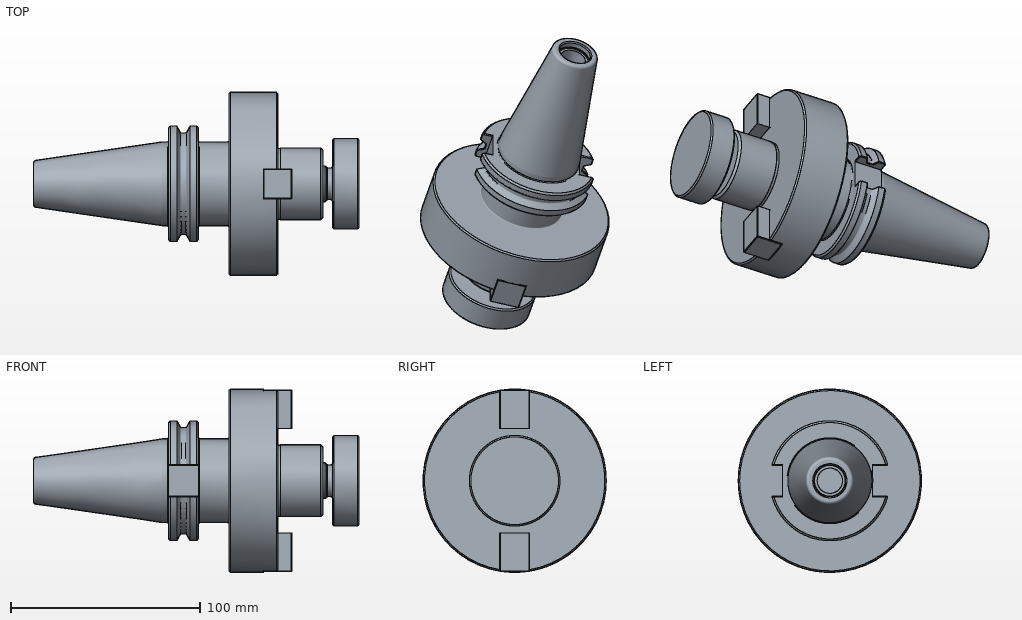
import cadquery as cq
import math


tolerance = 0.01

gauge_diameter = 44.45
taper_length = 68.25
taper_ratio = 7 / 24
taper_end_diameter = gauge_diameter - taper_ratio * taper_length
taper_end_rounding = 1.6

drawbar_mouth_diameter = 18.1
drawbar_counterbore_diameter = 16.8
drawbar_pilot_diameter = 16.3
drawbar_counterbore_depth = 3.3
drawbar_pilot_depth = 4.2
drawbar_thread_diameter = 13.39
drawbar_bore_depth = 40.0
drawbar_mouth_chamfer = (drawbar_mouth_diameter - drawbar_counterbore_diameter) / 2
drawbar_step_chamfer = (drawbar_counterbore_diameter - drawbar_pilot_diameter) / 2

flange_diameter = 63.55
flange_start = 3.18
flange_width = 15.87
flange_end = flange_start + flange_width
flange_middle = flange_start + flange_width / 2
flange_chamfer = 1.0
groove_floor_diameter = 56.5
groove_rim_width = 7.0
groove_floor_fillet = 0.6
groove_half_angle = math.radians(30)
groove_wall_run = (flange_diameter - groove_floor_diameter) / 2 * math.tan(groove_half_angle)
groove_floor_width = groove_rim_width - 2 * groove_wall_run
drive_slot_width = 16.1
drive_slot_edge_chamfer = 0.5
front_slot_floor = 22.6
back_slot_floor = 25.0

disc_diameter = 97.0
disc_start = 35.1
disc_width = 25.9
disc_face = disc_start + disc_width
disc_chamfer = 0.8
body_corner_fillet = 0.5

pilot_diameter = 38.1
pilot_length = 24.0
pilot_end = disc_face + pilot_length
pilot_chamfer = 1.3
relief_diameter = 37.6
relief_width = 1.5

key_width = 15.875
key_chamfer = 0.4
key_length = 15.0
key_depth_in_disc = 7.6
key_start = disc_face - key_depth_in_disc
key_inner = 27.6
key_outer = 48.1

screw_diameter = 19.05
screw_depth_in_pilot = 25.0
screw_core_diameter = 17.32
screw_core_length = 0.4
screw_neck_diameter = 16.8
screw_thread_runout = 1.0
head_diameter = 48.0
head_end = 104.0
head_width = 14.0
head_start = head_end - head_width
head_chamfer = 0.8
head_fillet = 1.2


def revolve_about_x(profile):
    """Turn a closed (X, radius) profile once around the X axis."""
    return profile.close().revolve(360, (0, 0, 0), (1, 0, 0))


def make_holder_blank():
    taper_radius = taper_end_diameter / 2
    body_radius = gauge_diameter / 2
    flange_radius = flange_diameter / 2
    disc_radius = disc_diameter / 2
    pilot_radius = pilot_diameter / 2
    relief_end = disc_face + relief_width
    wall_turn = math.pi / 2 - groove_half_angle
    fillet_tangent = groove_floor_fillet * math.tan(wall_turn / 2)
    fillet_on_floor = groove_floor_width / 2 - fillet_tangent
    fillet_on_wall = groove_floor_width / 2 + fillet_tangent * math.sin(groove_half_angle)
    floor_radius = groove_floor_diameter / 2
    fillet_top_radius = floor_radius + fillet_tangent * math.cos(groove_half_angle)
    profile = (
        cq.Workplane("XY")
        .moveTo(-taper_length, 0)
        .lineTo(-taper_length, taper_radius)
        .lineTo(0, body_radius)
        .lineTo(flange_start - body_corner_fillet, body_radius)
        .radiusArc((flange_start, body_radius + body_corner_fillet), -body_corner_fillet)
        .lineTo(flange_start, flange_radius - flange_chamfer)
        .lineTo(flange_start + flange_chamfer, flange_radius)
        .lineTo(flange_middle - groove_rim_width / 2, flange_radius)
        .lineTo(flange_middle - fillet_on_wall, fillet_top_radius)
        .radiusArc((flange_middle - fillet_on_floor, floor_radius), -groove_floor_fillet)
        .lineTo(flange_middle + fillet_on_floor, floor_radius)
        .radiusArc((flange_middle + fillet_on_wall, fillet_top_radius), -groove_floor_fillet)
        .lineTo(flange_middle + groove_rim_width / 2, flange_radius)
        .lineTo(flange_end - flange_chamfer, flange_radius)
        .lineTo(flange_end, flange_radius - flange_chamfer)
        .lineTo(flange_end, body_radius + body_corner_fillet)
        .radiusArc((flange_end + body_corner_fillet, body_radius), -body_corner_fillet)
        .lineTo(disc_start - body_corner_fillet, body_radius)
        .radiusArc((disc_start, body_radius + body_corner_fillet), -body_corner_fillet)
        .lineTo(disc_start, disc_radius - disc_chamfer)
        .lineTo(disc_start + disc_chamfer, disc_radius)
        .lineTo(disc_face - disc_chamfer, disc_radius)
        .lineTo(disc_face, disc_radius - disc_chamfer)
        .lineTo(disc_face, relief_diameter / 2)
        .lineTo(relief_end, relief_diameter / 2)
        .lineTo(relief_end, pilot_radius)
        .lineTo(pilot_end - pilot_chamfer, pilot_radius)
        .lineTo(pilot_end, pilot_radius - pilot_chamfer)
        .lineTo(pilot_end, 0)
    )
    return revolve_about_x(profile).faces("<X").edges().fillet(taper_end_rounding)


def make_drawbar_bore():
    mouth_end = drawbar_mouth_chamfer - taper_length
    counterbore_end = drawbar_counterbore_depth - taper_length
    step_end = counterbore_end + drawbar_step_chamfer
    shoulder = drawbar_pilot_depth - taper_length
    bottom = drawbar_bore_depth - taper_length
    profile = (
        cq.Workplane("XY")
        .moveTo(-taper_length, 0)
        .lineTo(-taper_length, drawbar_mouth_diameter / 2)
        .lineTo(mouth_end, drawbar_counterbore_diameter / 2)
        .lineTo(counterbore_end, drawbar_counterbore_diameter / 2)
        .lineTo(step_end, drawbar_pilot_diameter / 2)
        .lineTo(shoulder, drawbar_pilot_diameter / 2)
        .lineTo(shoulder, drawbar_thread_diameter / 2)
        .lineTo(bottom, drawbar_thread_diameter / 2)
        .lineTo(bottom, 0)
    )
    return revolve_about_x(profile)


def make_screw_bore():
    return (
        cq.Workplane("YZ", origin=(pilot_end - screw_depth_in_pilot, 0, 0))
        .circle(screw_diameter / 2)
        .extrude(screw_depth_in_pilot)
    )


def make_drive_slot(floor, side):
    """Slot across the flange rim; side is -1 for -Y and +1 for +Y."""
    slot_depth = flange_diameter / 2 - floor
    slot_middle = side * (floor + slot_depth / 2)
    return cq.Workplane("XY").box(flange_width, slot_depth, drive_slot_width).translate(
        (flange_middle, slot_middle, 0)
    )


def chamfer_drive_slot_walls(holder):
    """Break every edge of the slot walls except the ones on the slot floors."""
    wall_height = drive_slot_width / 2
    above_floors = []
    for edge in holder.edges().vals():
        box = edge.BoundingBox()
        middle = edge.Center()
        in_flange = flange_start - tolerance < middle.x < flange_end + tolerance
        on_wall = box.zlen < tolerance and abs(abs(middle.z) - wall_height) < tolerance
        floor = front_slot_floor if middle.y < 0 else back_slot_floor
        if in_flange and on_wall and abs(middle.y) > floor + tolerance:
            above_floors.append(edge)
    return holder.newObject(above_floors).chamfer(drive_slot_edge_chamfer)


def make_key_block(outer, side):
    """Block of the key's length and width from key_inner to outer; side is -1 for -Z and +1 for +Z."""
    height = outer - key_inner
    return cq.Workplane("XY").box(key_length, key_width, height).translate(
        (key_start + key_length / 2, 0, side * (key_inner + height / 2))
    )


def make_holder():
    holder = make_holder_blank().cut(make_drawbar_bore()).cut(make_screw_bore())
    holder = holder.cut(make_drive_slot(front_slot_floor, -1))
    holder = holder.cut(make_drive_slot(back_slot_floor, 1))
    holder = chamfer_drive_slot_walls(holder)
    for side in (-1, 1):
        holder = holder.cut(make_key_block(disc_diameter / 2, side))
    return holder


def make_drive_key(side):
    """Key block chamfered all round its outer face and along the upright edges of its +X end."""
    block = make_key_block(key_outer, side)
    outer_face = ">Z" if side > 0 else "<Z"
    return block.edges(f"{outer_face} or (>X and |Z)").chamfer(key_chamfer)


def make_cutter_screw():
    screw_radius = screw_diameter / 2
    neck_radius = screw_neck_diameter / 2
    head_radius = head_diameter / 2
    screw_tip = pilot_end - screw_depth_in_pilot
    thread_end = pilot_end + screw_thread_runout
    core_radius = screw_core_diameter / 2
    core_start = thread_end + screw_radius - core_radius
    neck_start = core_start + screw_core_length
    profile = (
        cq.Workplane("XY")
        .moveTo(screw_tip, 0)
        .lineTo(screw_tip, screw_radius)
        .lineTo(thread_end, screw_radius)
        .lineTo(core_start, core_radius)
        .lineTo(neck_start, core_radius)
        .lineTo(neck_start, neck_radius)
        .lineTo(head_start - head_fillet, neck_radius)
        .radiusArc((head_start, neck_radius + head_fillet), -head_fillet)
        .lineTo(head_start, head_radius - head_chamfer)
        .lineTo(head_start + head_chamfer, head_radius)
        .lineTo(head_end - head_chamfer, head_radius)
        .lineTo(head_end, head_radius - head_chamfer)
        .lineTo(head_end, 0)
    )
    return revolve_about_x(profile)


holder = make_holder()
drive_keys = [make_drive_key(side) for side in (-1, 1)]
cutter_screw = make_cutter_screw()

result = cq.Compound.makeCompound(
    [holder.val(), *[key.val() for key in drive_keys], cutter_screw.val()]
)